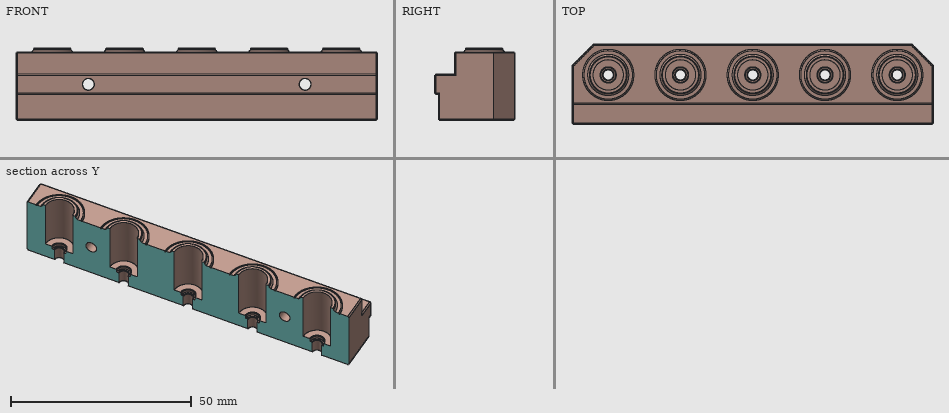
import cadquery as cq

length = 100.0
depth = 22.2
block_height = 19.0
edge_chamfer = 0.4
corner_cut = 5.9

lower_face_y = 1.0
ledge_bottom = 7.2
ledge_top = 12.8
upper_face_y = 5.5

bushing_count = 5
bushing_pitch = 20.0
bushing_to_rear_face = 8.5
bushing_y = depth - bushing_to_rear_face
flange_diameter = 14.2
flange_chamfer = 0.4
collar_top = 20.0
collar_base_diameter = 11.4
collar_diameter = 10.4
collar_taper_top = 19.5
collar_chamfer = 0.2
bore_diameter = 8.4
bore_depth = 15.0
drain_diameter = 2.8
drain_recess_diameter = 4.1
drain_recess_depth = 1.0
drain_chamfer = 0.2

cross_hole_diameter = 3.2
cross_hole_spacing = 60.0
cross_hole_z = 10.0


def make_block():
    """Stepped bar with both rear corners cut off and its outer edges chamfered."""
    side_profile = [
        (depth, 0),
        (depth, block_height),
        (upper_face_y, block_height),
        (upper_face_y, ledge_top),
        (0, ledge_top),
        (0, ledge_bottom),
        (lower_face_y, ledge_bottom),
        (lower_face_y, 0),
    ]
    block = cq.Workplane("YZ").polyline(side_profile).close().extrude(length / 2, both=True)
    block = block.edges("|Z").edges(">Y").chamfer(corner_cut)

    inside_corners = [(upper_face_y, ledge_top), (lower_face_y, ledge_bottom)]
    cut_start_y = depth - corner_cut
    tolerance = 0.01

    def is_sharp(edge):
        middle = edge.Center()
        box = edge.BoundingBox()
        on_corner_cut = box.zlen > tolerance and middle.y > cut_start_y - tolerance
        on_inside_corner = box.xlen > length / 2 and any(
            abs(middle.y - y) < tolerance and abs(middle.z - z) < tolerance for y, z in inside_corners
        )
        return on_corner_cut or on_inside_corner

    chamfered_edges = [edge for edge in block.edges().vals() if not is_sharp(edge)]
    return block.newObject(chamfered_edges).chamfer(edge_chamfer)


def make_bushing_collar():
    """Collar standing on the block, with a tapered foot and a chamfered rim."""
    foot_radius = collar_base_diameter / 2
    radius = collar_diameter / 2
    outline = [
        (0, block_height),
        (foot_radius, block_height),
        (radius, collar_taper_top),
        (radius, collar_top - collar_chamfer),
        (radius - collar_chamfer, collar_top),
        (0, collar_top),
    ]
    return cq.Workplane("XZ").polyline(outline).close().revolve(360, (0, 0), (0, 1))


def make_flange_groove():
    """V-shaped ring left between the chamfered flange and its straight seat."""
    seat_radius = flange_diameter / 2
    outline = [
        (seat_radius - flange_chamfer, block_height),
        (seat_radius, block_height),
        (seat_radius, block_height - flange_chamfer),
    ]
    return cq.Workplane("XZ").polyline(outline).close().revolve(360, (0, 0), (0, 1))


def make_bushing_bore():
    """Blind bore with a stepped drain hole through its floor, each step with a chamfered mouth."""
    floor = collar_top - bore_depth
    recess_floor = floor - drain_recess_depth
    bore_radius = bore_diameter / 2
    recess_radius = drain_recess_diameter / 2
    drain_radius = drain_diameter / 2
    outline = [
        (0, collar_top),
        (bore_radius, collar_top),
        (bore_radius, floor),
        (recess_radius + drain_chamfer, floor),
        (recess_radius, floor - drain_chamfer),
        (recess_radius, recess_floor),
        (drain_radius + drain_chamfer, recess_floor),
        (drain_radius, recess_floor - drain_chamfer),
        (drain_radius, 0),
        (0, 0),
    ]
    return cq.Workplane("XZ").polyline(outline).close().revolve(360, (0, 0), (0, 1))


result = make_block()

for index in range(bushing_count):
    bushing_x = (index - (bushing_count - 1) / 2) * bushing_pitch
    position = (bushing_x, bushing_y, 0)
    result = result.union(make_bushing_collar().translate(position))
    result = result.cut(make_flange_groove().translate(position))
    result = result.cut(make_bushing_bore().translate(position))

cross_holes = (
    cq.Workplane("XZ")
    .pushPoints([(side * cross_hole_spacing / 2, cross_hole_z) for side in (-1, 1)])
    .circle(cross_hole_diameter / 2)
    .extrude(-depth)
)
result = result.cut(cross_holes)